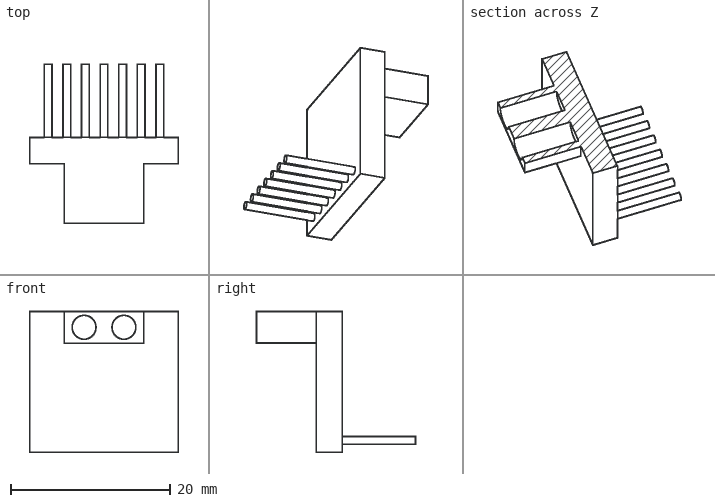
import cadquery as cq

PLATE_WIDTH = 18.7
PLATE_THICKNESS = 3.3
PLATE_HEIGHT = 17.7

BLOCK_WIDTH = 10.0
BLOCK_DEPTH = 7.5
BLOCK_HEIGHT = 4.0

HOLE_COUNT = 2
HOLE_DIAMETER = 3.0
HOLE_SPACING = BLOCK_WIDTH / HOLE_COUNT
HOLE_DEPTH = BLOCK_DEPTH

PIN_COUNT = 7
PIN_DIAMETER = 1.0
PIN_LENGTH = 9.2
PIN_PITCH = PLATE_WIDTH / (PIN_COUNT + 1)
PIN_CENTER_Z = 1.5


def box_from(width, y_start, depth, z_start, height):
    """Box centred on X = 0, growing in +Y and +Z from its start position."""
    box = cq.Workplane("XY").box(width, depth, height, centered=(True, False, False))
    return box.translate((0, y_start, z_start))


def rod_along_y(diameter, length, x, y_start, z):
    """Cylinder running in +Y from the given start point."""
    start = cq.Vector(x, y_start, z)
    direction = cq.Vector(0, 1, 0)
    return cq.Workplane(obj=cq.Solid.makeCylinder(diameter / 2, length, start, direction))


def row_positions(count, pitch):
    """Evenly spaced X positions, symmetric about X = 0."""
    return [(i - (count - 1) / 2) * pitch for i in range(count)]


def make_body():
    plate = box_from(PLATE_WIDTH, 0, PLATE_THICKNESS, 0, PLATE_HEIGHT)
    block_bottom = PLATE_HEIGHT - BLOCK_HEIGHT
    block = box_from(BLOCK_WIDTH, -BLOCK_DEPTH, BLOCK_DEPTH, block_bottom, BLOCK_HEIGHT)
    return plate.union(block)


def cut_holes(body):
    hole_z = PLATE_HEIGHT - BLOCK_HEIGHT / 2
    for x in row_positions(HOLE_COUNT, HOLE_SPACING):
        body = body.cut(rod_along_y(HOLE_DIAMETER, HOLE_DEPTH, x, -BLOCK_DEPTH, hole_z))
    return body


def add_pins(body):
    for x in row_positions(PIN_COUNT, PIN_PITCH):
        body = body.union(rod_along_y(PIN_DIAMETER, PIN_LENGTH, x, PLATE_THICKNESS, PIN_CENTER_Z))
    return body


result = add_pins(cut_holes(make_body()))